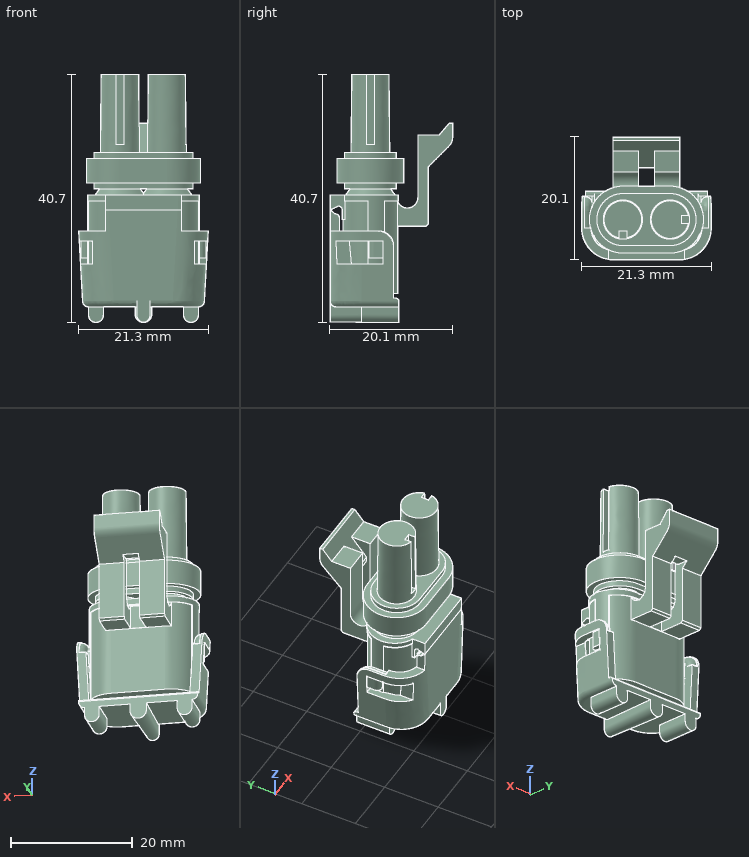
import cadquery as cq
import math

TOTAL_HEIGHT = 40.7
BASE_Z = 2.55
CAVITY_FLOOR_Z = 4.03
BODY_BOTTOM_Z = 4.75
SHROUD_TOP_Z = 15.0
FLANK_TOP_Z = 19.95
BODY_TOP_Z = 20.95
COLLAR_Z = 21.95
SEAL_Z = 22.87
SEAL_TOP_Z = 26.95
COLLAR_TOP_Z = 27.9

TOWER_X = 3.85
TOWER_TOP_R = 3.1
TOWER_BOTTOM_R = 3.2
KEY_WIDTH = 1.3
KEY_FLOOR_R = 1.87
KEY_BOTTOM_Z = 29.22
CONE_BOTTOM_R = 4.05
CONE_TOP_R = 3.35
COLLAR_R = 4.27
SEAL_R = 5.5

BODY_R = 4.6
BODY_HALF_WIDTH = 9.15
FLANK_R = 4.5
FLANK_HALF_WIDTH = 9.05
RIDGE_Y = (-0.35, 2.28)

FRONT_Y = -6.6
EAR_BACK_Y = 3.83
BASE_BACK_Y = 4.7
SHROUD_CORNER_R = 5.15
CORNER_Y = FRONT_Y + SHROUD_CORNER_R
SHROUD_WIDTH = 21.3
SHROUD_HALF_WIDTH = SHROUD_WIDTH / 2
SHROUD_DRAFT = 0.055
SHROUD_WALL = 1.55
BASE_FILLET = 0.98
EAR_ROUND = 2.45
EAR_TOP_Y = EAR_BACK_Y - EAR_ROUND
BASE_LIP_DROP = 0.35
STEP_FRONT_Y = -1.4
STEP_HALF_WIDTH = 10.15
STEP_DEPTH = 0.12
EAR_INNER_ROUND = 0.95

WINDOW_Y = (-5.6, 2.05)
WINDOW_Z = (9.6, 13.35)
WINDOW_INNER_X = 8.4
LUG_OUTER_X = 10.25
LUG_BOTTOM_Z = 10.62
LUG_FRONT_Y = -0.25
LUG_NOSE_R = 0.95

BLOCK_HALF_WIDTH = 6.25
BLOCK_WEB_Z = 16.95
SLOT_BACK_Y = -4.65
HINGE_TIP_Y = -6.5
HINGE_Z = 18.48
SLOT_ROUND = 0.6
PLATE_TOP_Z = 17.85
PLATE_ROUND = 0.77

SIDE_RIB_SPACING = 15.6
SIDE_RIB_WIDTH = 2.5
MIDDLE_RIB_BACK_R = 1.4
MIDDLE_RIB_FRONT_R = 1.05
MIDDLE_RIB_FRONT_Z = 0.1
RIB_TOP_Z = 3.55

LATCH_HALF_WIDTH = 5.5
LATCH_SLOT_WIDTH = 2.55
LATCH_TIP_Y = 13.5
LATCH_TOP_Z = 32.72
LATCH_STEP_Y = 11.27
LATCH_STEP_Z = 30.75
LATCH_LEDGE_Y = 12.95
ARM_INNER_Y = 7.77
ARM_OUTER_Y = 9.52
ARM_SHOULDER_Z = 25.55
LATCH_BOTTOM_Z = 15.8
LATCH_ARC_R = 1.7
LATCH_ARC_Z = 20.5
LATCH_TIP_ROUND = 2.05
LATCH_CHAMFER = 0.35
BRIDGE_FRONT_Y = 8.45
BRIDGE_BOTTOM_Z = 26.58

CLEARANCE = 0.4
OVERLAP = 0.4
ARC_MIDDLE = math.sqrt(0.5)


def box(x, y, z):
    """Box between two limits along each axis."""
    size = (x[1] - x[0], y[1] - y[0], z[1] - z[0])
    return cq.Workplane("XY").box(*size, centered=False).translate((x[0], y[0], z[0]))


def stadium(half_width, radius, bottom, top):
    """Upright prism with a straight-sided, round-ended outline."""
    outline = cq.Workplane("XY").workplane(offset=bottom).slot2D(2 * half_width, 2 * radius)
    return outline.extrude(top - bottom)


def cone(x, bottom_r, top_r, bottom, top):
    """Round upright post whose radius changes evenly with height."""
    solid = cq.Solid.makeCone(bottom_r, top_r, top - bottom, cq.Vector(x, 0, bottom))
    return cq.Workplane(obj=solid)


def side_profile(half_width):
    """Sketch plane whose axes are Y and Z; extruding by the full width centres it on X."""
    return cq.Workplane("YZ").workplane(offset=-half_width)


def shell_block(wall, back, bottom, top):
    """Tapered block with two round front corners, set in by the wall thickness."""

    def outline(z):
        half = SHROUD_HALF_WIDTH - SHROUD_DRAFT * (SHROUD_TOP_Z - z)
        radius = SHROUD_CORNER_R - wall
        flat = half - SHROUD_CORNER_R
        half -= wall
        front = FRONT_Y + wall
        diagonal = radius * ARC_MIDDLE
        return (
            cq.Workplane("XY").workplane(offset=z)
            .moveTo(-half, back).lineTo(-half, CORNER_Y)
            .threePointArc((-flat - diagonal, CORNER_Y - diagonal), (-flat, front))
            .lineTo(flat, front)
            .threePointArc((flat + diagonal, CORNER_Y - diagonal), (half, CORNER_Y))
            .lineTo(half, back).close().val()
        )

    return cq.Workplane(obj=cq.Solid.makeLoft([outline(bottom), outline(top)], True))


def make_towers():
    """Two tapered towers with a keyway each, and the cones beneath the collar."""
    towers = cq.Workplane("XY")
    for x in (-TOWER_X, TOWER_X):
        towers = towers.union(cone(x, TOWER_BOTTOM_R, TOWER_TOP_R, COLLAR_TOP_Z, TOTAL_HEIGHT))
        towers = towers.union(cone(x, CONE_BOTTOM_R, CONE_TOP_R, BODY_TOP_Z, COLLAR_Z))
    half = KEY_WIDTH / 2
    reach = TOWER_BOTTOM_R + CLEARANCE
    key_z = (KEY_BOTTOM_Z, TOTAL_HEIGHT)
    front_key = box((-TOWER_X - half, -TOWER_X + half), (-reach, -KEY_FLOOR_R), key_z)
    side_key = box((TOWER_X + KEY_FLOOR_R, TOWER_X + reach), (-half, half), key_z)
    return towers.cut(front_key).cut(side_key)


def make_collar():
    """Collar with the wider seal around its middle."""
    collar = stadium(TOWER_X + COLLAR_R, COLLAR_R, COLLAR_Z, COLLAR_TOP_Z)
    return collar.union(stadium(TOWER_X + SEAL_R, SEAL_R, SEAL_Z, SEAL_TOP_Z))


def make_body():
    """Full outline at the top; lower down only a ridge at each end keeps the full width."""
    body = stadium(BODY_HALF_WIDTH, BODY_R, FLANK_TOP_Z, BODY_TOP_Z)
    body = body.union(stadium(FLANK_HALF_WIDTH, FLANK_R, BODY_BOTTOM_Z, FLANK_TOP_Z))
    ridge = stadium(BODY_HALF_WIDTH, BODY_R, BODY_BOTTOM_Z, FLANK_TOP_Z)
    band = box((-BODY_HALF_WIDTH, BODY_HALF_WIDTH), RIDGE_Y, (BODY_BOTTOM_Z, FLANK_TOP_Z))
    return body.union(ridge.intersect(band))


def make_shroud():
    """U-shaped shell on a base that reaches further back, with its front plate running up."""
    shroud = shell_block(0, BASE_BACK_Y, BASE_Z, BODY_TOP_Z)
    shroud = shroud.faces("<Z").edges("not >Y").fillet(BASE_FILLET)
    lip_z = CAVITY_FLOOR_Z - BASE_LIP_DROP
    lip_run = BASE_BACK_Y - EAR_BACK_Y
    above_ears = (
        side_profile(SHROUD_HALF_WIDTH + CLEARANCE)
        .moveTo(BASE_BACK_Y, lip_z)
        .threePointArc(
            (EAR_BACK_Y + lip_run * ARC_MIDDLE, lip_z + BASE_LIP_DROP * ARC_MIDDLE),
            (EAR_BACK_Y, CAVITY_FLOOR_Z),
        )
        .lineTo(EAR_BACK_Y, SHROUD_TOP_Z - EAR_ROUND)
        .radiusArc((EAR_TOP_Y, SHROUD_TOP_Z), -EAR_ROUND)
        .lineTo(0, SHROUD_TOP_Z).lineTo(0, BODY_TOP_Z)
        .lineTo(BASE_BACK_Y, BODY_TOP_Z)
        .close().extrude(2 * (SHROUD_HALF_WIDTH + CLEARANCE))
    )
    shroud = shroud.cut(above_ears)
    shroud = shroud.cut(shell_block(SHROUD_WALL, BASE_BACK_Y, CAVITY_FLOOR_Z, SHROUD_TOP_Z))
    shroud = shroud.cut(make_ear_step())
    inner_x = SHROUD_HALF_WIDTH - SHROUD_WALL
    step_z = SHROUD_TOP_Z - STEP_DEPTH
    for side in (-1, 1):
        inner_edge = cq.selectors.NearestToPointSelector((side * inner_x, 0, step_z))
        shroud = shroud.edges(inner_edge).fillet(EAR_INNER_ROUND)
    for side in (-1, 1):
        window_x = sorted((side * WINDOW_INNER_X, side * SHROUD_HALF_WIDTH))
        shroud = shroud.cut(box(window_x, WINDOW_Y, WINDOW_Z))
        shoulder_x = sorted((side * BLOCK_HALF_WIDTH, side * (SHROUD_HALF_WIDTH + CLEARANCE)))
        shroud = shroud.cut(box(shoulder_x, (FRONT_Y, 0), (SHROUD_TOP_Z, BODY_TOP_Z)))
    return shroud.cut(make_hinge_slot())


def make_ear_step():
    """Shallow recess that follows the top and the round back corner of both ears."""
    step_z = SHROUD_TOP_Z - STEP_DEPTH
    corner_z = SHROUD_TOP_Z - EAR_ROUND
    return (
        side_profile(STEP_HALF_WIDTH)
        .moveTo(STEP_FRONT_Y, SHROUD_TOP_Z).lineTo(STEP_FRONT_Y, step_z)
        .lineTo(EAR_TOP_Y, step_z)
        .radiusArc((EAR_BACK_Y - STEP_DEPTH, corner_z), EAR_ROUND - STEP_DEPTH)
        .lineTo(EAR_BACK_Y, corner_z).lineTo(EAR_BACK_Y, SHROUD_TOP_Z)
        .close().extrude(2 * STEP_HALF_WIDTH)
    )


def make_hinge_slot():
    """Slot that parts the front plate from the body up to a thin hinge, plus room under the web."""
    plate_back_y = FRONT_Y + SHROUD_WALL
    slot = (
        side_profile(BLOCK_HALF_WIDTH)
        .moveTo(SLOT_BACK_Y, SHROUD_TOP_Z).lineTo(SLOT_BACK_Y, HINGE_Z)
        .radiusArc((SLOT_BACK_Y - SLOT_ROUND, HINGE_Z + SLOT_ROUND), -SLOT_ROUND)
        .lineTo(HINGE_TIP_Y, HINGE_Z).lineTo(plate_back_y - PLATE_ROUND, PLATE_TOP_Z)
        .radiusArc((plate_back_y, PLATE_TOP_Z - PLATE_ROUND), PLATE_ROUND)
        .lineTo(plate_back_y, SHROUD_TOP_Z)
        .close().extrude(2 * BLOCK_HALF_WIDTH)
    )
    below_web = box(
        (-BLOCK_HALF_WIDTH, BLOCK_HALF_WIDTH), (SLOT_BACK_Y, 0), (SHROUD_TOP_Z, BLOCK_WEB_Z)
    )
    return slot.union(below_web)


def make_lugs():
    """Lugs behind the windows, hanging between body and shroud, with a round front nose."""
    lugs = box(
        (-LUG_OUTER_X, LUG_OUTER_X), (LUG_FRONT_Y, WINDOW_Y[1]), (LUG_BOTTOM_Z, WINDOW_Z[1])
    )
    return lugs.edges("|Z and <Y").fillet(LUG_NOSE_R)


def rib_outline(center, radius, bottom):
    """Upright strip across the part at a given X and Y, rounded at its lower end."""
    middle = bottom + radius
    return (
        cq.Workplane("XZ", origin=(center[0], center[1], 0))
        .moveTo(-radius, RIB_TOP_Z).lineTo(-radius, middle)
        .threePointArc((0, bottom), (radius, middle))
        .lineTo(radius, RIB_TOP_Z).close()
    )


def make_ribs():
    """Long middle rib that narrows to the front, and a shorter straight rib on each side."""
    back_end = rib_outline((0, BASE_BACK_Y), MIDDLE_RIB_BACK_R, 0).val()
    front_end = rib_outline((0, FRONT_Y), MIDDLE_RIB_FRONT_R, MIDDLE_RIB_FRONT_Z).val()
    ribs = cq.Workplane(obj=cq.Solid.makeLoft([back_end, front_end], True))
    for x in (-SIDE_RIB_SPACING / 2, SIDE_RIB_SPACING / 2):
        side = rib_outline((x, BASE_BACK_Y), SIDE_RIB_WIDTH / 2, 0)
        ribs = ribs.union(side.extrude(BASE_BACK_Y - CORNER_Y))
    return ribs


def make_latch():
    """Spring arm behind the body: a hook-shaped outline split by a middle slot."""
    arc_y = ARM_INNER_Y - LATCH_ARC_R
    tip_bottom_z = ARM_SHOULDER_Z + LATCH_TIP_Y - ARM_OUTER_Y
    root_y = BODY_R - OVERLAP
    latch = (
        side_profile(LATCH_HALF_WIDTH)
        .moveTo(LATCH_TIP_Y, LATCH_TOP_Z).lineTo(LATCH_LEDGE_Y, LATCH_TOP_Z)
        .lineTo(LATCH_STEP_Y, LATCH_STEP_Z).lineTo(ARM_INNER_Y, LATCH_STEP_Z)
        .lineTo(ARM_INNER_Y, LATCH_ARC_Z)
        .threePointArc((arc_y, LATCH_ARC_Z - LATCH_ARC_R), (arc_y - LATCH_ARC_R, LATCH_ARC_Z))
        .lineTo(root_y, LATCH_ARC_Z).lineTo(root_y, LATCH_BOTTOM_Z)
        .lineTo(ARM_OUTER_Y - LATCH_CHAMFER, LATCH_BOTTOM_Z)
        .lineTo(ARM_OUTER_Y, LATCH_BOTTOM_Z + LATCH_CHAMFER)
        .lineTo(ARM_OUTER_Y, ARM_SHOULDER_Z).lineTo(LATCH_TIP_Y, tip_bottom_z)
        .close().extrude(2 * LATCH_HALF_WIDTH)
    )
    tip_edge = cq.selectors.NearestToPointSelector((0, LATCH_TIP_Y, tip_bottom_z))
    latch = latch.edges("|X").edges(tip_edge).fillet(LATCH_TIP_ROUND)
    slope = (LATCH_TOP_Z - LATCH_STEP_Z) / (LATCH_LEDGE_Y - LATCH_STEP_Y)
    bridge_top_z = LATCH_STEP_Z - slope * (LATCH_STEP_Y - BRIDGE_FRONT_Y)
    bridge_back_y = ARM_OUTER_Y + BRIDGE_BOTTOM_Z - ARM_SHOULDER_Z
    slot = (
        side_profile(LATCH_SLOT_WIDTH / 2)
        .moveTo(BODY_R, LATCH_STEP_Z).lineTo(LATCH_STEP_Y, LATCH_STEP_Z)
        .lineTo(BRIDGE_FRONT_Y, bridge_top_z).lineTo(BRIDGE_FRONT_Y, BRIDGE_BOTTOM_Z)
        .lineTo(bridge_back_y, BRIDGE_BOTTOM_Z).lineTo(bridge_back_y, LATCH_BOTTOM_Z)
        .lineTo(BODY_R, LATCH_BOTTOM_Z).close().extrude(LATCH_SLOT_WIDTH)
    )
    return latch.cut(slot)


result = make_shroud()
for feature in (make_body(), make_lugs(), make_collar(), make_towers(), make_ribs(), make_latch()):
    result = result.union(feature)